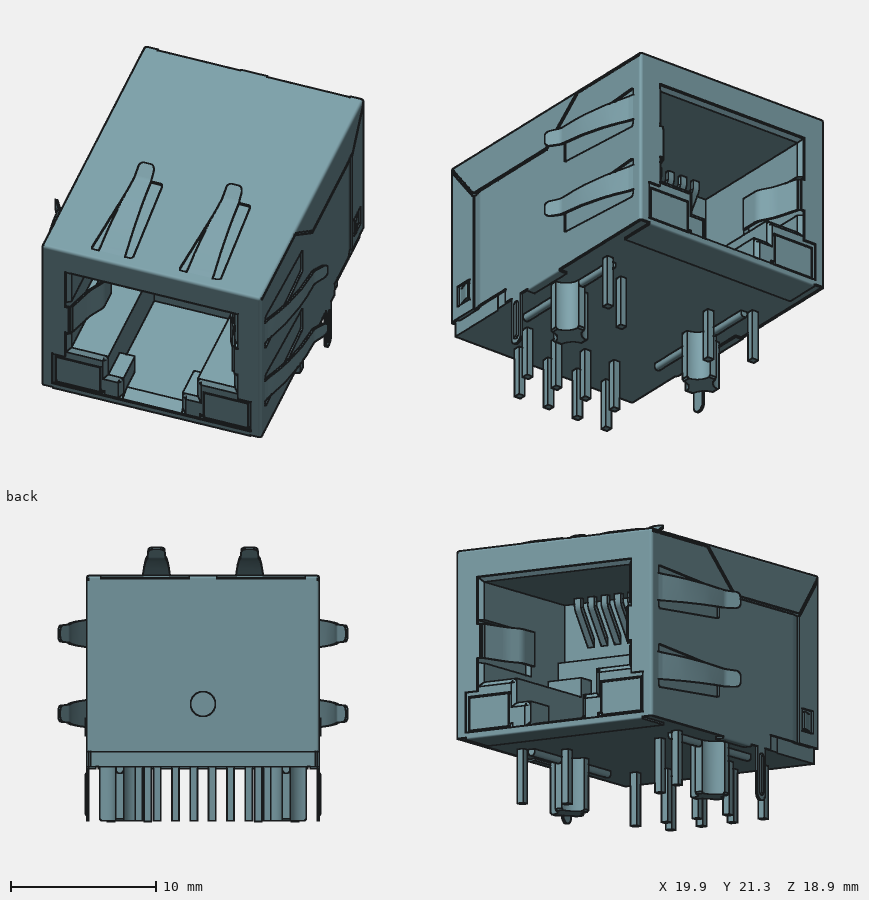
import cadquery as cq
import math


SIDES = (-1, 1)

SHEET = 0.15
BEND = 0.21
FOLD_BEND = 0.13
HALF_W = 8.0
LENGTH = 21.29
TOP = 13.15
FOLD_HALF_W = 7.2
FOLD_LEN = 2.8

OPEN_HALF_W = 6.3
OPEN_TOP = 11.17
OPEN_BOTTOM = 0.35
LED_OPEN_HALF_W = 7.25
LED_OPEN_TOP = 3.15

PLUG_SPRING_Z = 6.66
PLUG_SPRING_H = 2.4
PLUG_SPRING_EDGE = 6.05
PLUG_SPRING_FOLD = 0.23
PLUG_SPRING_KNEE = (5.23, 2.11)
PLUG_SPRING_CREST = (4.61, 3.2)
PLUG_SPRING_END_Y = 4.75
PLUG_SPRING_BENDS = (2.99, 1.07)

SPRING_RISE = 1.95
SPRING_X = 3.2
SPRING_Z = (9.15, 3.65)
SPRING_ROOT_Y = 0.85
SPRING_LIFT = (1.24, 0.09)
SPRING_BOW = (3.97, 0.95)
SPRING_CREST = (7.22, 1.32)
SPRING_CREST_BEND = 0.77
SPRING_TIP_Y = 8.26
SPRING_TIP_RADIUS = 0.35
SPRING_ROOT_W = 1.92
SPRING_TIP_W = 1.1
WINDOW_END_Y = 8.58
WINDOW_ROOT_W = 3.03
WINDOW_END_W = 2.03
WINDOW_RADIUS = 0.21

FLAP_BOTTOM = 10.15
FLAP_BOTTOM_Y = (10.63, 18.77)
FLAP_TOP_Y = (7.02, 21.22)
SLIT = 0.2
SEAM = 0.09

COVER_EDGE_Y = 18.77
STEP_Y = (18.0, 18.64)
STEP_BEND = 0.96
STEP_START_Y = 17.87
LAP_END_Y = 20.67
REAR_BOTTOM = 1.05
REAR_BOTTOM_Y = 15.14
HINGE_SLOT_X = (0.96, 7.02)
HINGE_SLOT_W = 0.21
LATCH_WINDOW_Y = (19.17, 20.52)
LATCH_WINDOW_Z = (1.99, 3.57)
LATCH_Y = (19.28, 19.5, 20.28)
LATCH_Z = (2.14, 3.33)
EMBOSS = 0.09
REAR_DIMPLE_H = 0.06
REAR_DIMPLE_R = 0.85
REAR_DIMPLE_Z = 4.31

TAB_Y = 13.96
TAB_W = 0.98
TAB_BOTTOM = -3.71
BEAD_W = 0.51
BEAD_FLAT_W = 0.25
BEAD_Z = (-3.35, -0.43)
FOOT_Y = (9.12, 12.7)
FOOT_LEN = 0.65

HOUSING_HALF_W = HALF_W - SHEET
HOUSING_FRONT = SHEET
HOUSING_REAR = LENGTH - SHEET
HOUSING_TOP = TOP - SHEET
WAIST_Y = (16.16, 16.4)

CAVITY_HALF_W = 5.95
CAVITY_TOP = 10.82
CAVITY_FLOOR = 0.65
CAVITY_REAR = 10.68
LOWER_REAR = 9.82
LEDGE_Z = 6.65
TOWER_X = 3.27
TOWER_TOP = 3.8
TOWER_STEP_Y = 8.55
TOWER_STEP_TOP = 5.15
KEY_X = 2.15
KEY_TOP = 2.1
KEY_LEN = 2.56
LEAD_IN = 0.32
LEAD_IN_DEPTH = 0.23
FLOOR_RAMP_LEN = 0.95
POCKET_X = 6.4
POCKET_Z = (5.15, 8.18)
POCKET_END_Y = 6.4

LED_X = (3.74, 7.07)
LED_Z = (0.4, 2.86)
LED_GROOVE = 0.09
LED_GROOVE_DEPTH = 0.21
LED_NOTCH = (3.48, 0.66)

CONTACT_COUNT = 8
CONTACT_PITCH = 1.09
CONTACT_W = 0.51
CONTACT_T = 0.32
CONTACT_FOOT_Z = 7.66
CONTACT_BEND_Z = 10.12
CONTACT_BEND_R = 0.77
CONTACT_TILT = math.radians(35)

PIN_W = 0.51
SIGNAL_PIN_COUNT = 8
SIGNAL_PIN_PITCH = 1.25
SIGNAL_PIN_Y = (17.27, 19.8)
SIGNAL_PIN_BOTTOM = -3.71
LED_PINS = ((6.32, 5.83), (3.8, 7.58))
LED_PIN_BOTTOM = -3.78
POST_X = 5.72
POST_Y = 10.9
POST_R = 1.39
POST_ARM_W = 0.53
POST_BOTTOM = -3.71
POST_CHAMFER = 0.13
RAIL_W = 0.51
RAIL_Y = (6.06, 15.75)
RAIL_BOTTOM = -0.45
RAIL_FILLET = 0.21


def block(x, y, z):
    """Box between pairs of limits, given in any order."""
    size = [abs(b - a) for a, b in (x, y, z)]
    return cq.Workplane("XY").box(*size, centered=False).translate((min(x), min(y), min(z)))


def both_sides(shape):
    """A shape on the +X side together with its mirror image."""
    return shape.union(shape.mirror("YZ"))



def shield_shell():
    outer = block((-HALF_W, HALF_W), (0, LENGTH), (-SHEET, TOP))
    outer = outer.edges("|Z or >Z").fillet(BEND)
    outer = outer.edges("<Z and <Y").fillet(FOLD_BEND)
    inside = block(
        (-HOUSING_HALF_W, HOUSING_HALF_W), (HOUSING_FRONT, HOUSING_REAR), (0, HOUSING_TOP)
    )
    behind_fold = block((-HALF_W, HALF_W), (FOLD_LEN, LENGTH), (-SHEET, 0))
    shell = outer.cut(inside).cut(behind_fold)
    for side in SIDES:
        shell = shell.cut(block((side * FOLD_HALF_W, side * HALF_W), (0, LENGTH), (-SHEET, 0)))
    return shell


def front_opening():
    main = block((-OPEN_HALF_W, OPEN_HALF_W), (0, SHEET), (OPEN_BOTTOM, OPEN_TOP))
    leds = block((-LED_OPEN_HALF_W, LED_OPEN_HALF_W), (0, SHEET), (OPEN_BOTTOM, LED_OPEN_TOP))
    return main.union(leds)


def plug_spring():
    """Strip folded back from the opening's edge, bowed towards the plug."""
    bottom = PLUG_SPRING_Z - PLUG_SPRING_H / 2
    face = [
        (PLUG_SPRING_EDGE - PLUG_SPRING_FOLD, PLUG_SPRING_FOLD),
        PLUG_SPRING_KNEE,
        PLUG_SPRING_CREST,
        (PLUG_SPRING_CREST[0], PLUG_SPRING_END_Y),
    ]
    back = [(x + SHEET, y) for x, y in reversed(face)]
    strip = (
        cq.Workplane("XY", origin=(0, 0, bottom))
        .moveTo(OPEN_HALF_W, 0)
        .lineTo(PLUG_SPRING_EDGE, 0)
        .radiusArc(face[0], -PLUG_SPRING_FOLD)
    )
    for point in face[1:] + back:
        strip = strip.lineTo(*point)
    strip = strip.lineTo(PLUG_SPRING_EDGE, SHEET).lineTo(OPEN_HALF_W, SHEET)
    strip = strip.close().extrude(PLUG_SPRING_H)
    for (x, y), radius in zip((PLUG_SPRING_KNEE, PLUG_SPRING_CREST), PLUG_SPRING_BENDS):
        for corner_x in (x, x + SHEET):
            corner = cq.selectors.NearestToPointSelector((corner_x, y, PLUG_SPRING_Z))
            strip = strip.edges("|Z").edges(corner).fillet(radius)
    return strip


def taper_outline(root_y, end_y, root_w, end_w):
    """Symmetric tapered outline about X = 0, from a wide root to a narrow end."""
    return cq.Workplane("XY").polyline([
        (-root_w / 2, root_y),
        (root_w / 2, root_y),
        (end_w / 2, end_y),
        (-end_w / 2, end_y),
    ]).close()


def spring_window():
    """Cutter for the hole round a panel spring; the sheet's outer face is at Z = 0."""
    outline = taper_outline(SPRING_ROOT_Y, WINDOW_END_Y, WINDOW_ROOT_W, WINDOW_END_W)
    return outline.extrude(-SHEET).edges("|Z").fillet(WINDOW_RADIUS)


def panel_spring():
    """Bowed tongue with a raised tip, on a sheet whose outer face is at Z = 0."""
    upper = [SPRING_LIFT, SPRING_BOW, SPRING_CREST, (SPRING_TIP_Y, SPRING_RISE)]
    lower = [(y, h - SHEET) for y, h in upper]
    anchor_y = SPRING_ROOT_Y - SHEET
    profile = (
        cq.Workplane("YZ", origin=(-SPRING_ROOT_W / 2, 0, 0))
        .moveTo(anchor_y, 0)
        .lineTo(SPRING_ROOT_Y, 0)
        .lineTo(*upper[0])
        .threePointArc(upper[1], upper[2])
        .lineTo(*upper[3])
        .lineTo(*lower[3])
        .lineTo(*lower[2])
        .threePointArc(lower[1], lower[0])
        .lineTo(SPRING_ROOT_Y, -SHEET)
        .lineTo(anchor_y, -SHEET)
        .close()
        .extrude(SPRING_ROOT_W)
    )
    for y, h in (upper[2], lower[2]):
        crest = cq.selectors.NearestToPointSelector((0, y, h))
        profile = profile.edges("|X").edges(crest).fillet(SPRING_CREST_BEND)
    plan = taper_outline(anchor_y, SPRING_TIP_Y, SPRING_ROOT_W, SPRING_TIP_W)
    plan = plan.extrude(SPRING_RISE + SHEET).translate((0, 0, -SHEET))
    plan = plan.edges("|Z and >Y").fillet(SPRING_TIP_RADIUS)
    return profile.intersect(plan)


def spring_places(shape):
    """Copies of a spring feature on the top and on both side walls."""
    on_top = [shape.translate((x * SPRING_X, 0, TOP)) for x in SIDES]
    on_sides = [
        shape.rotate((0, 0, 0), (0, 1, 0), side * 90).translate((side * HALF_W, 0, z))
        for side in SIDES
        for z in SPRING_Z
    ]
    return on_top + on_sides


def flap_slit():
    """Slit round the trapezoidal flap on the +X side."""
    def flap():
        return cq.Workplane("YZ", origin=(HOUSING_HALF_W, 0, 0)).polyline([
            (FLAP_TOP_Y[0], TOP),
            (FLAP_BOTTOM_Y[0], FLAP_BOTTOM),
            (FLAP_BOTTOM_Y[1], FLAP_BOTTOM),
            (FLAP_TOP_Y[1], TOP),
        ]).close()
    slit = flap().offset2D(SLIT, "intersection").extrude(SHEET).cut(flap().extrude(SHEET))
    below_bend = block((0, HALF_W), (0, LENGTH), (0, TOP - BEND))
    return slit.intersect(below_bend)


def top_seam():
    """Gap between the top and the side wall, from the front bend to the flap."""
    seam_top = TOP - SHEET
    return block(
        (HOUSING_HALF_W, HALF_W), (BEND, FLAP_TOP_Y[0]), (seam_top - SEAM, seam_top)
    )


def lapped_wall_gap():
    """Stretch of the outer wall taken away where the side wall steps inward."""
    return block(
        (HOUSING_HALF_W, HALF_W),
        (STEP_START_Y, COVER_EDGE_Y),
        (REAR_BOTTOM, FLAP_BOTTOM - SLIT),
    )


def lapped_wall():
    """Side wall stepping inward by one sheet and running on under the rear cover."""
    outer = [
        (HALF_W, STEP_START_Y),
        (HALF_W, STEP_Y[0]),
        (HALF_W - SHEET, STEP_Y[1]),
        (HALF_W - SHEET, LAP_END_Y),
    ]
    inner = [(x - SHEET, y) for x, y in reversed(outer)]
    wall = (
        cq.Workplane("XY", origin=(0, 0, REAR_BOTTOM))
        .polyline(outer + inner)
        .close()
        .extrude(FLAP_BOTTOM - SLIT - REAR_BOTTOM)
    )
    for path in (outer, inner[::-1]):
        for x, y in path[1:3]:
            bend = cq.selectors.NearestToPointSelector((x, y, FLAP_BOTTOM / 2))
            wall = wall.edges("|Z").edges(bend).fillet(STEP_BEND)
    return wall


def rear_relief():
    """Side and rear walls removed near the board at the rear."""
    side = block((HOUSING_HALF_W, HALF_W), (REAR_BOTTOM_Y, LENGTH), (0, REAR_BOTTOM))
    return side.union(block((0, HALF_W), (HOUSING_REAR, LENGTH), (0, REAR_BOTTOM)))


def latch():
    """Ramped latch on the lapped wall, standing in the rear cover's window."""
    wall_x = HALF_W - SHEET
    ramp = cq.Workplane("XY", origin=(0, 0, LATCH_Z[0])).polyline([
        (wall_x, LATCH_Y[0]),
        (HALF_W + EMBOSS, LATCH_Y[0]),
        (HALF_W + EMBOSS, LATCH_Y[1]),
        (wall_x, LATCH_Y[2]),
    ])
    return ramp.close().extrude(LATCH_Z[1] - LATCH_Z[0])


def ground_tab():
    """Round-ended solder tab with a raised bead."""
    radius = TAB_W / 2
    wall_x = HALF_W - SHEET
    tab = block(
        (wall_x, HALF_W), (TAB_Y - radius, TAB_Y + radius), (TAB_BOTTOM + radius, 0)
    )
    end = cq.Workplane("YZ", origin=(wall_x, TAB_Y, TAB_BOTTOM + radius))
    tab = tab.union(end.circle(radius).extrude(SHEET))
    draft = math.degrees(math.atan((BEAD_W - BEAD_FLAT_W) / 2 / EMBOSS))
    bead = (
        cq.Workplane("YZ", origin=(HALF_W, TAB_Y, sum(BEAD_Z) / 2))
        .slot2D(BEAD_Z[1] - BEAD_Z[0], BEAD_W, 90)
        .extrude(EMBOSS, taper=draft)
    )
    return tab.union(bead)


def folded_foot():
    """Short lip folded under the housing from the side wall."""
    lip = block((HALF_W - FOOT_LEN, HALF_W), FOOT_Y, (-SHEET, 0))
    return lip.edges(">X and <Z").fillet(FOLD_BEND)


def rear_cover_cuts():
    """Latch window in the side of the cover and the slot at its top bend, +X side."""
    window = block((HALF_W - SHEET, HALF_W), LATCH_WINDOW_Y, LATCH_WINDOW_Z)
    slot = block(HINGE_SLOT_X, (LENGTH - HINGE_SLOT_W, LENGTH), (TOP - HINGE_SLOT_W, TOP))
    return window.union(slot)


def build_shield():
    shield = shield_shell().cut(front_opening())
    for cutter in (rear_relief(), flap_slit(), top_seam(), lapped_wall_gap(), rear_cover_cuts()):
        shield = shield.cut(both_sides(cutter))
    for cutter in spring_places(spring_window()):
        shield = shield.cut(cutter)
    for spring in spring_places(panel_spring()):
        shield = shield.union(spring)
    for feature in (lapped_wall(), latch(), ground_tab(), folded_foot(), plug_spring()):
        shield = shield.union(both_sides(feature))
    dimple = cq.Workplane("XZ", origin=(0, LENGTH, REAR_DIMPLE_Z)).circle(REAR_DIMPLE_R)
    return shield.union(dimple.extrude(-REAR_DIMPLE_H))



def housing_block():
    waist = HOUSING_HALF_W - SHEET
    half = [
        (HOUSING_HALF_W, HOUSING_FRONT),
        (HOUSING_HALF_W, WAIST_Y[0]),
        (waist, WAIST_Y[1]),
        (waist, HOUSING_REAR),
    ]
    mirrored = [(-x, y) for x, y in reversed(half)]
    return cq.Workplane("XY").polyline(half + mirrored).close().extrude(HOUSING_TOP)


def mouth_outline():
    """Cavity outline at the front, stepped round the keys and the LED towers."""
    half = [
        (KEY_X, CAVITY_FLOOR),
        (KEY_X, KEY_TOP),
        (TOWER_X, KEY_TOP),
        (TOWER_X, TOWER_TOP),
        (CAVITY_HALF_W, TOWER_TOP),
        (CAVITY_HALF_W, CAVITY_TOP),
    ]
    mirrored = [(-x, z) for x, z in reversed(half)]
    front = cq.Workplane("XZ", origin=(0, HOUSING_FRONT, 0))
    return front.polyline(half + mirrored).close()


def plug_cavity():
    keys_end = HOUSING_FRONT + KEY_LEN
    cavity = mouth_outline().extrude(-KEY_LEN)
    flare = math.degrees(math.atan(LEAD_IN / LEAD_IN_DEPTH))
    lead_in = mouth_outline().offset2D(LEAD_IN, "intersection").extrude(-LEAD_IN_DEPTH, taper=flare)
    ramp = (
        cq.Workplane("YZ", origin=(-KEY_X, 0, 0))
        .moveTo(HOUSING_FRONT, CAVITY_FLOOR)
        .lineTo(HOUSING_FRONT + FLOOR_RAMP_LEN, CAVITY_FLOOR)
        .lineTo(HOUSING_FRONT, CAVITY_FLOOR - LEAD_IN)
        .close()
        .extrude(2 * KEY_X)
    )
    channel = block((-TOWER_X, TOWER_X), (keys_end, LOWER_REAR), (CAVITY_FLOOR, LEDGE_Z))
    above_towers = block(
        (-CAVITY_HALF_W, CAVITY_HALF_W), (keys_end, TOWER_STEP_Y), (TOWER_TOP, LEDGE_Z)
    )
    above_steps = block(
        (-CAVITY_HALF_W, CAVITY_HALF_W), (TOWER_STEP_Y, LOWER_REAR), (TOWER_STEP_TOP, LEDGE_Z)
    )
    upper = block((-CAVITY_HALF_W, CAVITY_HALF_W), (keys_end, CAVITY_REAR), (LEDGE_Z, CAVITY_TOP))
    pockets = block((-POCKET_X, POCKET_X), (HOUSING_FRONT, POCKET_END_Y), POCKET_Z)
    for part in (lead_in, ramp, channel, above_towers, above_steps, upper, pockets):
        cavity = cavity.union(part)
    return cavity


def led_groove():
    """Groove and corner notch that outline the LED window on the +X side."""
    depth = (HOUSING_FRONT, HOUSING_FRONT + LED_GROOVE_DEPTH)
    lens_x = (LED_X[0] + LED_GROOVE, LED_X[1] - LED_GROOVE)
    lens_z = (LED_Z[0] + LED_GROOVE, LED_Z[1] - LED_GROOVE)
    notch = block((LED_NOTCH[0], LED_X[0]), depth, (OPEN_BOTTOM, LED_NOTCH[1]))
    return block(LED_X, depth, LED_Z).cut(block(lens_x, depth, lens_z)).union(notch)


def contact(x):
    """Contact rising forward from the rear wall and bending up into the roof."""
    rise = CONTACT_BEND_Z - CONTACT_FOOT_Z
    bend_y = CAVITY_REAR - rise * math.tan(CONTACT_TILT)
    back_drop = CONTACT_T * math.tan(CONTACT_TILT / 2)
    back_y = bend_y + CONTACT_T
    back_bend_z = CONTACT_BEND_Z + back_drop
    back_foot_z = back_bend_z - (CAVITY_REAR - back_y) / math.tan(CONTACT_TILT)
    strip = (
        cq.Workplane("YZ", origin=(x - CONTACT_W / 2, 0, 0))
        .polyline([
            (CAVITY_REAR, CONTACT_FOOT_Z),
            (bend_y, CONTACT_BEND_Z),
            (bend_y, CAVITY_TOP),
            (back_y, CAVITY_TOP),
            (back_y, back_bend_z),
            (CAVITY_REAR, back_foot_z),
        ])
        .close()
        .extrude(CONTACT_W)
    )
    bend = cq.selectors.NearestToPointSelector((x, bend_y, CONTACT_BEND_Z))
    return strip.edges("|X").edges(bend).fillet(CONTACT_BEND_R)


def pin(x, y, bottom):
    half = PIN_W / 2
    return block((x - half, x + half), (y - half, y + half), (bottom, 0))


def post():
    """Locating post of cross section with hollow flanks, on the +X side."""
    flank_r = POST_R - POST_ARM_W / 2
    column = cq.Workplane("XY").rect(2 * POST_R, 2 * POST_R).extrude(POST_BOTTOM)
    flanks = cq.Workplane("XY").rect(2 * POST_R, 2 * POST_R, forConstruction=True)
    column = column.cut(flanks.vertices().circle(flank_r).extrude(POST_BOTTOM))
    for face in ("<X", ">X", "<Y", ">Y"):
        column = column.faces(face).edges("<Z").chamfer(POST_CHAMFER)
    return column.translate((POST_X, POST_Y, 0))


def rail():
    """Standoff rail with a rounded underside on the +X side."""
    half = RAIL_W / 2
    bar = block((POST_X - half, POST_X + half), RAIL_Y, (RAIL_BOTTOM, 0))
    return bar.edges("|Y and <Z").fillet(RAIL_FILLET)


def build_housing():
    housing = housing_block().cut(plug_cavity()).cut(both_sides(led_groove()))
    for i in range(CONTACT_COUNT):
        housing = housing.union(contact((i - (CONTACT_COUNT - 1) / 2) * CONTACT_PITCH))
    for i in range(SIGNAL_PIN_COUNT):
        x = (i - (SIGNAL_PIN_COUNT - 1) / 2) * SIGNAL_PIN_PITCH
        housing = housing.union(pin(x, SIGNAL_PIN_Y[i % 2], SIGNAL_PIN_BOTTOM))
    for x, y in LED_PINS:
        housing = housing.union(both_sides(pin(x, y, LED_PIN_BOTTOM)))
    return housing.union(both_sides(post())).union(both_sides(rail()))


shield = build_shield()
housing = build_housing()
result = cq.Compound.makeCompound([*shield.solids().vals(), *housing.solids().vals()])